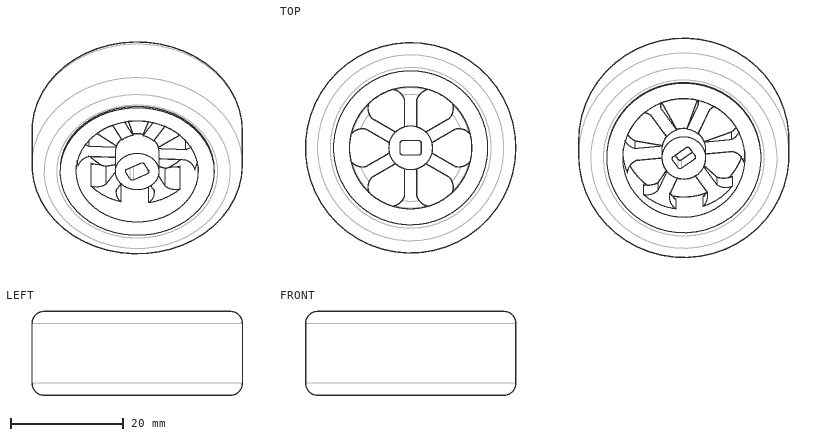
import cadquery as cq
import math

tyre_radius = 18.65
width = 14.92
tyre_edge_round = 2.15
bead_round = 0.6

rim_radius = 13.65
bore_radius = 10.82
hub_radius = 3.88
hub_top = 6.25
slot_length = 3.73
slot_width = 2.55
slot_corner_radius = 0.45

spoke_count = 6
first_spoke_angle = 30.0
spoke_width = 2.2
spoke_bottom = 5.82
spoke_top = 13.0
spoke_bend_radius = 9.48
spoke_bend_height = 12.42
flare_start = 8.55
flare_half_width = 3.17
flare_radius = 2.7
rim_overlap = 0.37


def make_tyre():
    ring = cq.Workplane("XY").circle(tyre_radius).circle(rim_radius).extrude(width)
    inner_edges = cq.selectors.RadiusNthSelector(0)
    outer_edges = cq.selectors.RadiusNthSelector(-1)
    ring = ring.edges("%CIRCLE").edges(inner_edges).fillet(bead_round)
    return ring.edges("%CIRCLE").edges(outer_edges).fillet(tyre_edge_round)


def make_spoke_outline():
    """Plan of one spoke along +X, with concave flares where it meets the bore."""
    half_width = spoke_width / 2
    flare_end = math.sqrt(bore_radius ** 2 - flare_half_width ** 2)
    outer_x = bore_radius + rim_overlap
    return (
        cq.Workplane("XY", origin=(0, 0, spoke_bottom))
        .moveTo(0, -half_width)
        .lineTo(flare_start, -half_width)
        .radiusArc((flare_end, -flare_half_width), flare_radius)
        .lineTo(outer_x, -flare_half_width)
        .lineTo(outer_x, flare_half_width)
        .lineTo(flare_end, flare_half_width)
        .radiusArc((flare_start, half_width), flare_radius)
        .lineTo(0, half_width)
        .close()
        .extrude(spoke_top - spoke_bottom)
    )


def make_spoke_profile():
    """Revolved envelope: flat underside, sloped top that levels out at the rim."""
    return (
        cq.Workplane("XZ")
        .moveTo(0, spoke_bottom)
        .lineTo(0, hub_top)
        .lineTo(hub_radius, hub_top)
        .lineTo(spoke_bend_radius, spoke_bend_height)
        .tangentArcPoint((bore_radius, spoke_top), relative=False)
        .lineTo(bore_radius + rim_overlap, spoke_top)
        .lineTo(bore_radius + rim_overlap, spoke_bottom)
        .close()
        .revolve(360, (0, 0, 0), (0, 1, 0))
    )


def make_wheel():
    wheel = cq.Workplane("XY").circle(rim_radius).circle(bore_radius).extrude(width)
    spoke = make_spoke_outline().intersect(make_spoke_profile())
    for index in range(spoke_count):
        angle = first_spoke_angle + index * 360 / spoke_count
        wheel = wheel.union(spoke.rotate((0, 0, 0), (0, 0, 1), angle))
    hub = cq.Workplane("XY").circle(hub_radius).extrude(hub_top)
    axle_slot = (
        cq.Workplane("XY")
        .rect(slot_length, slot_width)
        .extrude(hub_top)
        .edges("|Z")
        .fillet(slot_corner_radius)
    )
    return wheel.union(hub).cut(axle_slot)


tyre = make_tyre()
wheel = make_wheel()
result = cq.Compound.makeCompound([tyre.val(), *wheel.vals()])